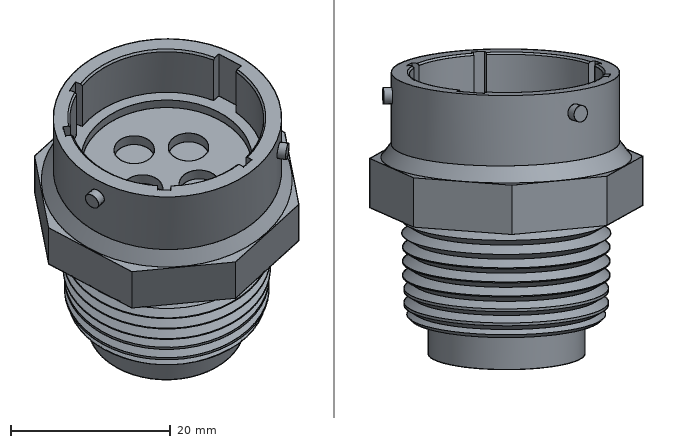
import cadquery as cq
import math

total_height = 36.15
tail_top = 4.6
hex_bottom = 18.9
hex_top = 25.25

flange_across_flats = 31.75
flange_sides = 8
cone_base_radius = 15.75
cone_tip_radius = 13.75
cone_slope = 1.3
shell_radius = 14.35
shell_shift_x = 0.1
tail_radius = 9.87
tail_shift_y = -0.1

thread_pitch = 1.8
thread_root_radius = 11.7
sharp_crest_radius = 13.15
middle_crest_radius = 13.05
blunt_crest_radius = 12.87
crest_radii = [sharp_crest_radius] * 2 + [middle_crest_radius] * 3 + [blunt_crest_radius] * 2
first_root_z = 18.22
end_crest_radius = 12.5
thread_end_radius = 12.0
flank_slope = thread_pitch / 2 / (sharp_crest_radius - thread_root_radius)

socket_radius = 12.2
socket_depth = 7.3
socket_chamfer = 0.25
insert_radius = 10.78
insert_depth = 1.3

contact_radius = 2.53
contact_depth = 1.52
contact_side_offset = 5.15
contact_top_offset = 4.52
contact_bottom_offset = 5.0
contact_centers = [
    (0, contact_top_offset),
    (contact_side_offset, 0),
    (0, -contact_bottom_offset),
    (-contact_side_offset, 0),
]

keyway_reach = 13.13
main_keyway_angle = 90
main_keyway_width = 3.55
minor_keyway_width = 1.65
minor_keyway_angles = [-2, 191.7, 228.3, -54.2]

pin_radius = 1.05
pin_reach = 15.5
pin_z = 33.4
pin_angles = [25, 147.3, 270]


def cylinder(radius, bottom, top, center=(0, 0)):
    base = cq.Workplane("XY").workplane(offset=bottom).center(*center)
    return base.circle(radius).extrude(top - bottom)


def turned(profile):
    """Revolve a closed (radius, z) outline about the Z axis."""
    return cq.Workplane("XZ").polyline(profile).close().revolve(360, (0, 0), (0, 1))


def make_flange():
    corner_diameter = flange_across_flats / math.cos(math.pi / flange_sides)
    return (
        cq.Workplane("XY")
        .workplane(offset=hex_bottom)
        .transformed(rotate=(0, 0, 180 / flange_sides))
        .polygon(flange_sides, corner_diameter)
        .extrude(hex_top - hex_bottom)
    )


def make_shell():
    cone_tip_z = hex_top + (cone_base_radius - cone_tip_radius) * cone_slope
    cone = turned(
        [
            (0, hex_top),
            (cone_base_radius, hex_top),
            (cone_tip_radius, cone_tip_z),
            (0, cone_tip_z),
        ]
    )
    return cone.union(cylinder(shell_radius, hex_top, total_height, (shell_shift_x, 0)))


def make_thread():
    top_radius = thread_root_radius + (hex_bottom - first_root_z) / flank_slope
    profile = [(0, hex_bottom), (top_radius, hex_bottom)]
    root_z = first_root_z
    for crest_radius in crest_radii:
        profile.append((thread_root_radius, root_z))
        flank_drop = (crest_radius - thread_root_radius) * flank_slope
        profile.append((crest_radius, root_z - flank_drop))
        root_z -= thread_pitch
        if crest_radius < sharp_crest_radius:
            profile.append((crest_radius, root_z + flank_drop))
    end_crest_z = root_z - (end_crest_radius - thread_root_radius) * flank_slope
    profile += [
        (thread_root_radius, root_z),
        (end_crest_radius, end_crest_z),
        (thread_end_radius, tail_top),
        (0, tail_top),
    ]
    return turned(profile)


def make_pin(angle):
    pin = cq.Workplane("YZ").center(0, pin_z).circle(pin_radius).extrude(pin_reach)
    return pin.rotate((0, 0, 0), (0, 0, 1), angle)


def make_keyway(angle, width):
    keyway = (
        cq.Workplane("XY")
        .workplane(offset=total_height - socket_depth)
        .center(keyway_reach / 2, 0)
        .rect(keyway_reach, width)
        .extrude(socket_depth)
    )
    return keyway.rotate((0, 0, 0), (0, 0, 1), angle)


def make_socket():
    socket_floor = total_height - socket_depth
    insert_floor = socket_floor - insert_depth
    mouth_radius = socket_radius + socket_chamfer
    socket = turned(
        [
            (0, insert_floor),
            (insert_radius, insert_floor),
            (insert_radius, socket_floor),
            (socket_radius, socket_floor),
            (socket_radius, total_height - socket_chamfer),
            (mouth_radius, total_height),
            (0, total_height),
        ]
    )
    socket = socket.union(make_keyway(main_keyway_angle, main_keyway_width))
    for angle in minor_keyway_angles:
        socket = socket.union(make_keyway(angle, minor_keyway_width))
    contacts = (
        cq.Workplane("XY")
        .workplane(offset=insert_floor - contact_depth)
        .pushPoints(contact_centers)
        .circle(contact_radius)
        .extrude(contact_depth)
    )
    return socket.union(contacts)


body = make_flange().union(make_shell())
for pin_angle in pin_angles:
    body = body.union(make_pin(pin_angle))
body = body.union(make_thread())
body = body.union(cylinder(tail_radius, 0, tail_top, (0, tail_shift_y)))
result = body.cut(make_socket())